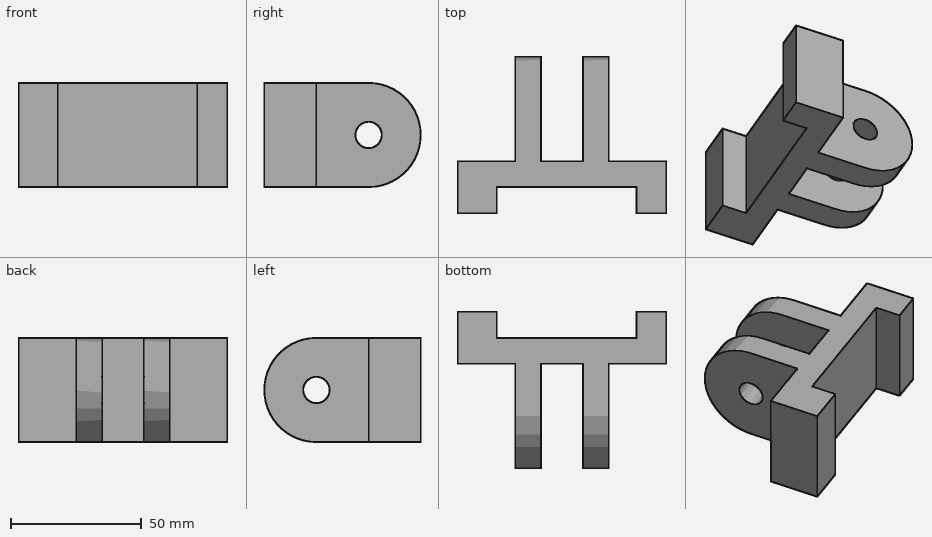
import cadquery as cq

length = 80.0
height = 40.0
wall = 10.0
leg_depth = 10.0
left_leg_width = 15.0
right_leg_width = 11.5

lug_gap = 16.0
lug_radius = height / 2
lug_straight = 20.0
pin_diameter = 10.0

plate_back = leg_depth + wall
pin_y = plate_back + lug_straight


def make_base():
    block = cq.Workplane("XY").box(length, plate_back, height, centered=(True, False, True))
    channel_width = length - left_leg_width - right_leg_width
    channel = (
        cq.Workplane("XY")
        .box(channel_width, leg_depth, height, centered=(False, False, True))
        .translate((left_leg_width - length / 2, 0, 0))
    )
    return block.cut(channel)


def make_lug(start_x):
    """Lug rooted in the plate, occupying start_x to start_x + wall."""
    return (
        cq.Workplane("YZ", origin=(start_x, 0, 0))
        .moveTo(leg_depth, -lug_radius)
        .lineTo(pin_y, -lug_radius)
        .threePointArc((pin_y + lug_radius, 0), (pin_y, lug_radius))
        .lineTo(leg_depth, lug_radius)
        .close()
        .extrude(wall)
    )


result = make_base()
for lug_start in (-lug_gap / 2 - wall, lug_gap / 2):
    result = result.union(make_lug(lug_start))

pin_hole = (
    cq.Workplane("YZ")
    .center(pin_y, 0)
    .circle(pin_diameter / 2)
    .extrude(length / 2, both=True)
)
result = result.cut(pin_hole)